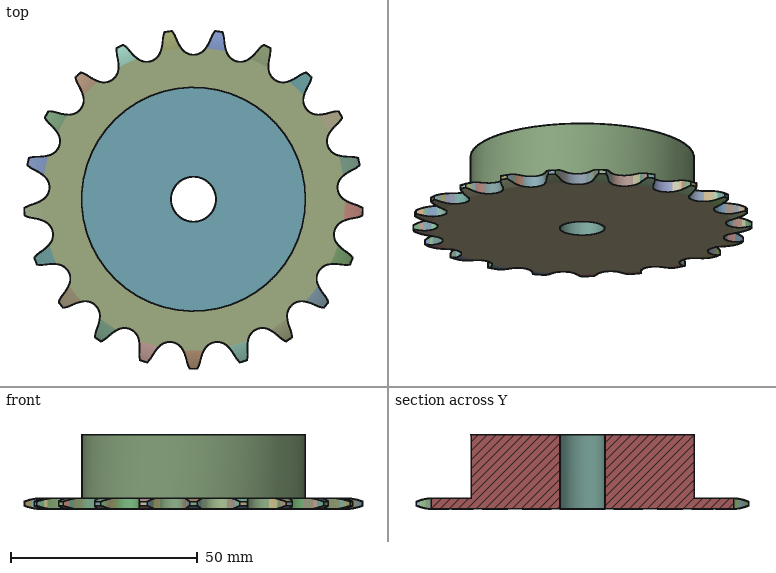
import cadquery as cq
import math

total_height = 20.0
plate_thickness = 3.0
hub_diameter = 60.0
bore_diameter = 12.0

tooth_count = 21
tip_diameter = 90.95
pitch_diameter = 85.2
roller_diameter = 7.7

side_rounding_radius = 13.0
side_rounding_depth = 4.9

tip_radius = tip_diameter / 2
pitch_radius = pitch_diameter / 2
seat_radius = 0.5025 * roller_diameter
seat_half_angle = math.radians(55 - 60 / tooth_count)
working_sweep = math.radians(18 - 56 / tooth_count)
top_angle = math.radians(17 - 64 / tooth_count)
working_centre_offset = 0.8 * roller_diameter
working_radius = seat_radius + working_centre_offset
straight_length = roller_diameter * (1.4 * math.sin(top_angle) - 0.8 * math.sin(working_sweep))
topping_radius = roller_diameter * (0.8 * math.cos(working_sweep) + 1.4 * math.cos(top_angle) - 1.3025)
tooth_angle = 360 / tooth_count
first_gap_angle = 90.0
cut_clearance = 0.45


def make_plate():
    """Round plate whose rim is thinned from both faces by tangent arcs."""
    flat_radius = tip_radius - side_rounding_depth
    side_angle = math.asin(side_rounding_depth / side_rounding_radius)

    def rounding_point(angle):
        """Distance from the axis and drop below the flat face, along the side arc."""
        radius = flat_radius + side_rounding_radius * math.sin(angle)
        drop = side_rounding_radius * (1 - math.cos(angle))
        return radius, drop

    middle_radius, middle_drop = rounding_point(side_angle / 2)
    _, tip_drop = rounding_point(side_angle)
    return (
        cq.Workplane("XZ")
        .lineTo(flat_radius, 0)
        .threePointArc((middle_radius, middle_drop), (tip_radius, tip_drop))
        .lineTo(tip_radius, plate_thickness - tip_drop)
        .threePointArc((middle_radius, plate_thickness - middle_drop), (flat_radius, plate_thickness))
        .lineTo(0, plate_thickness)
        .close()
        .revolve(360, (0, 0, 0), (0, 1, 0))
    )


def make_gap_cutter():
    """Tooth gap facing +X: roller seat, concave working curves, short straights and convex tips."""

    def offset(point, distance, angle):
        """Move a point; the angle is measured from -X towards +Y."""
        x = point[0] - distance * math.cos(angle)
        y = point[1] + distance * math.sin(angle)
        return x, y

    def mirrored(point):
        return point[0], -point[1]

    flank_angle = seat_half_angle + working_sweep
    seat_centre = (pitch_radius, 0)
    working_centre = offset(seat_centre, -working_centre_offset, seat_half_angle)
    seat_bottom = offset(seat_centre, seat_radius, 0)
    seat_end = offset(seat_centre, seat_radius, seat_half_angle)
    working_middle = offset(working_centre, working_radius, seat_half_angle + working_sweep / 2)
    working_end = offset(working_centre, working_radius, flank_angle)
    straight_end = offset(working_end, straight_length, flank_angle + math.pi / 2)

    topping_centre = offset(straight_end, topping_radius, flank_angle)
    outer_x = tip_radius + cut_clearance
    outer_angle = math.acos((outer_x - topping_centre[0]) / topping_radius)
    topping_middle = offset(topping_centre, -topping_radius, (flank_angle + outer_angle) / 2)
    topping_end = offset(topping_centre, -topping_radius, outer_angle)

    return (
        cq.Workplane("XY")
        .moveTo(*mirrored(topping_end))
        .threePointArc(mirrored(topping_middle), mirrored(straight_end))
        .lineTo(*mirrored(working_end))
        .threePointArc(mirrored(working_middle), mirrored(seat_end))
        .threePointArc(seat_bottom, seat_end)
        .threePointArc(working_middle, working_end)
        .lineTo(*straight_end)
        .threePointArc(topping_middle, topping_end)
        .close()
        .extrude(plate_thickness)
    )


sprocket = make_plate()
gap_cutter = make_gap_cutter()
for gap in range(tooth_count):
    gap_angle = first_gap_angle + gap * tooth_angle
    sprocket = sprocket.cut(gap_cutter.rotate((0, 0, 0), (0, 0, 1), gap_angle))

hub = cq.Workplane("XY").circle(hub_diameter / 2).extrude(total_height)
bore = cq.Workplane("XY").circle(bore_diameter / 2).extrude(total_height)
result = sprocket.union(hub).cut(bore)